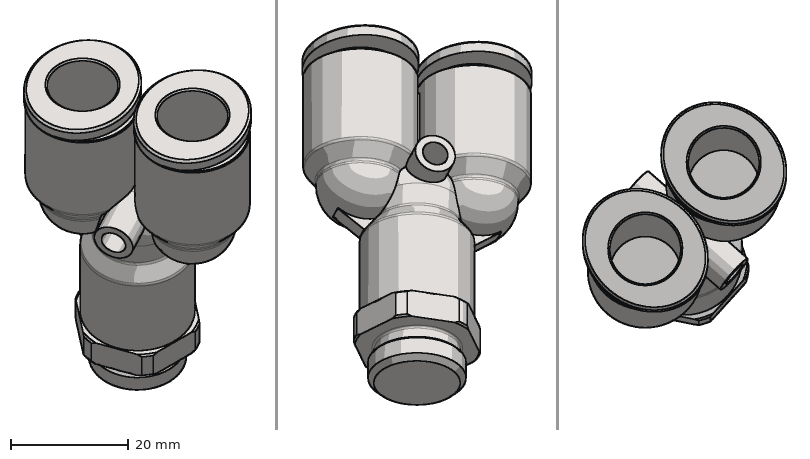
import cadquery as cq
import math

TOTAL_HEIGHT = 62.9
SOCKET_SPACING = 20.05
SOCKET_DIAMETER = 19.6
SOCKET_X = SOCKET_SPACING / 2
SOCKET_RADIUS = SOCKET_DIAMETER / 2

PLUG_RADIUS = 8.35
PLUG_HEIGHT = 4.5
PLUG_BOTTOM_CHAMFER = 1.0
PLUG_TOP_CHAMFER = 0.5
PLUG_NECK_RADIUS = 7.35
PLUG_NECK_FILLET = 0.4

HEX_BOTTOM_Z = 6.9
HEX_TOP_Z = 12.0
HEX_ACROSS_FLATS = 20.0
HEX_TRIM_RADIUS = 11.0
HEX_CHAMFER = 0.3

LOBE_RADIUS = 7.6
CONE_BLEND_RADIUS = 0.9
STEM_CONE_BOTTOM_Z = 28.0
STEM_CONE_TOP_Z = 30.95
STEM_DOME_Z = 35.15

BALL_CENTRE_Z = 37.55
SOCKET_CONE_BOTTOM_Z = 38.25
SOCKET_CONE_TOP_Z = 41.15
SOCKET_TOP_Z = 58.95
SOCKET_RIM_CHAMFER = 0.2

COLLAR_LENGTH_Y = 22.7
COLLAR_THICKNESS = 2.2
COLLAR_CHAMFER = 0.45
COLLAR_NECK_RADIUS = 7.1
BORE_RADIUS = 6.05
BORE_CHAMFER = 0.3
BORE_FLOOR_Z = SOCKET_CONE_TOP_Z

CROSS_TUBE_Z = 39.0
CROSS_TUBE_RADIUS = 3.5
CROSS_TUBE_HOLE_RADIUS = 2.2
CROSS_TUBE_LENGTH = COLLAR_LENGTH_Y

GUSSET_THICKNESS = 3.0
WEB_THICKNESS = 1.5
WEB_TOP_Z = 57.05


def revolve_profile(points):
    """Turn a closed (radius, z) outline about the Z axis."""
    return cq.Workplane("XZ").polyline(points).close().revolve(360, (0, 0, 0), (0, 1, 0))


def circle_edges_at(z):
    """Select the horizontal circular edges lying at one height."""
    reach = 2 * SOCKET_RADIUS
    tolerance = 0.005
    return cq.selectors.BoxSelector(
        (-reach, -reach, z - tolerance),
        (reach, reach, z + tolerance),
    )


def blend_cone_ends(body, bottom_z, top_z):
    """Round the two edges where a cone meets the cylinders below and above it."""
    for z in (bottom_z, top_z):
        body = body.edges(circle_edges_at(z)).fillet(CONE_BLEND_RADIUS)
    return body


def make_plug():
    """Plug flange and neck, the neck flaring into the underside of the hexagon."""
    flare_radius = PLUG_NECK_RADIUS + PLUG_NECK_FILLET
    return (
        cq.Workplane("XZ")
        .lineTo(PLUG_RADIUS - PLUG_BOTTOM_CHAMFER, 0)
        .lineTo(PLUG_RADIUS, PLUG_BOTTOM_CHAMFER)
        .lineTo(PLUG_RADIUS, PLUG_HEIGHT - PLUG_TOP_CHAMFER)
        .lineTo(PLUG_RADIUS - PLUG_TOP_CHAMFER, PLUG_HEIGHT)
        .lineTo(PLUG_NECK_RADIUS, PLUG_HEIGHT)
        .lineTo(PLUG_NECK_RADIUS, HEX_BOTTOM_Z - PLUG_NECK_FILLET)
        .radiusArc((flare_radius, HEX_BOTTOM_Z), PLUG_NECK_FILLET)
        .lineTo(0, HEX_BOTTOM_Z)
        .close()
        .revolve(360, (0, 0, 0), (0, 1, 0))
    )


def make_hexagon():
    height = HEX_TOP_Z - HEX_BOTTOM_Z
    across_corners = HEX_ACROSS_FLATS / math.cos(math.pi / 6)
    base = cq.Workplane("XY").workplane(offset=HEX_BOTTOM_Z)
    trim = base.circle(HEX_TRIM_RADIUS).extrude(height).edges().chamfer(HEX_CHAMFER)
    return base.polygon(6, across_corners).extrude(height).intersect(trim)


def make_stem():
    body = revolve_profile([
        (0, HEX_TOP_Z),
        (SOCKET_RADIUS, HEX_TOP_Z),
        (SOCKET_RADIUS, STEM_CONE_BOTTOM_Z),
        (LOBE_RADIUS, STEM_CONE_TOP_Z),
        (LOBE_RADIUS, STEM_DOME_Z),
        (0, STEM_DOME_Z),
    ])
    body = blend_cone_ends(body, STEM_CONE_BOTTOM_Z, STEM_CONE_TOP_Z)
    dome = cq.Workplane("XY").sphere(LOBE_RADIUS).translate((0, 0, STEM_DOME_Z))
    return body.union(dome)


def make_socket():
    body = revolve_profile([
        (0, BALL_CENTRE_Z),
        (LOBE_RADIUS, BALL_CENTRE_Z),
        (LOBE_RADIUS, SOCKET_CONE_BOTTOM_Z),
        (SOCKET_RADIUS, SOCKET_CONE_TOP_Z),
        (SOCKET_RADIUS, SOCKET_TOP_Z - SOCKET_RIM_CHAMFER),
        (SOCKET_RADIUS - SOCKET_RIM_CHAMFER, SOCKET_TOP_Z),
        (0, SOCKET_TOP_Z),
    ])
    body = blend_cone_ends(body, SOCKET_CONE_BOTTOM_Z, SOCKET_CONE_TOP_Z)
    ball = cq.Workplane("XY").sphere(LOBE_RADIUS).translate((0, 0, BALL_CENTRE_Z))
    return body.union(ball)


def make_collar():
    flange_bottom = TOTAL_HEIGHT - COLLAR_THICKNESS
    flange = (
        cq.Workplane("XY").workplane(offset=flange_bottom)
        .ellipse(SOCKET_RADIUS, COLLAR_LENGTH_Y / 2)
        .extrude(COLLAR_THICKNESS)
        .faces(">Z").edges().chamfer(COLLAR_CHAMFER)
    )
    neck = (
        cq.Workplane("XY").workplane(offset=SOCKET_TOP_Z)
        .circle(COLLAR_NECK_RADIUS)
        .extrude(flange_bottom - SOCKET_TOP_Z)
    )
    return neck.union(flange)


def make_bore():
    return revolve_profile([
        (0, BORE_FLOOR_Z),
        (BORE_RADIUS, BORE_FLOOR_Z),
        (BORE_RADIUS, TOTAL_HEIGHT - BORE_CHAMFER),
        (BORE_RADIUS + BORE_CHAMFER, TOTAL_HEIGHT),
        (0, TOTAL_HEIGHT),
    ])


def make_gusset():
    """Wall under both balls, its sloping edges running from the stem tangent to each ball."""
    start_to_centre_x = SOCKET_X - SOCKET_RADIUS
    start_to_centre_z = BALL_CENTRE_Z - STEM_CONE_BOTTOM_Z
    distance = math.hypot(start_to_centre_x, start_to_centre_z)
    tangent_length = math.sqrt(distance**2 - LOBE_RADIUS**2)
    slope = math.atan2(start_to_centre_z, start_to_centre_x) - math.asin(LOBE_RADIUS / distance)
    tangent_x = SOCKET_RADIUS + tangent_length * math.cos(slope)
    tangent_z = STEM_CONE_BOTTOM_Z + tangent_length * math.sin(slope)
    outline = [
        (-SOCKET_RADIUS, STEM_CONE_BOTTOM_Z),
        (SOCKET_RADIUS, STEM_CONE_BOTTOM_Z),
        (tangent_x, tangent_z),
        (SOCKET_X, BALL_CENTRE_Z),
        (-SOCKET_X, BALL_CENTRE_Z),
        (-tangent_x, tangent_z),
    ]
    return cq.Workplane("XZ").polyline(outline).close().extrude(GUSSET_THICKNESS / 2, both=True)


def make_web():
    """Thin wall closing the gap between the sockets."""
    height = WEB_TOP_Z - BALL_CENTRE_Z
    gap = SOCKET_SPACING - SOCKET_DIAMETER
    overlap = gap / 2
    width = gap + 2 * overlap
    return (
        cq.Workplane("XY").workplane(offset=BALL_CENTRE_Z)
        .rect(width, WEB_THICKNESS)
        .extrude(height)
    )


def make_cross_rod(radius):
    return (
        cq.Workplane("XZ").center(0, CROSS_TUBE_Z)
        .circle(radius)
        .extrude(CROSS_TUBE_LENGTH / 2, both=True)
    )


result = make_plug().union(make_hexagon()).union(make_stem()).union(make_gusset()).union(make_web())
for side in (-1, 1):
    place = (side * SOCKET_X, 0, 0)
    result = result.union(make_socket().translate(place)).union(make_collar().translate(place))
result = result.union(make_cross_rod(CROSS_TUBE_RADIUS))

for side in (-1, 1):
    result = result.cut(make_bore().translate((side * SOCKET_X, 0, 0)))
result = result.cut(make_cross_rod(CROSS_TUBE_HOLE_RADIUS))